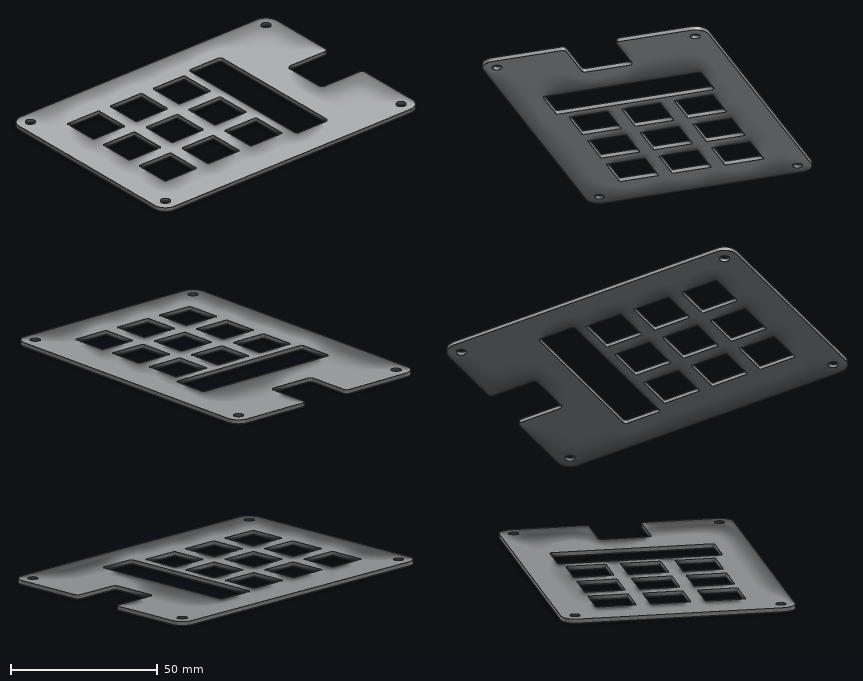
import cadquery as cq

plate_width = 82.0
plate_length = 115.2
plate_thickness = 1.5
corner_radius = 5.0

screw_hole_diameter = 3.5
screw_hole_inset = corner_radius

notch_width = 18.3
notch_depth = 18.3
notch_center_x = 0.3
notch_radius = 1.5

window_width = 57.5
window_height = 14.3
window_center_y = 19.1
window_radius = 1.0

key_rows = 3
key_columns = 3
key_size = 14.1
key_pitch = 19.1
key_radius = 0.5
key_grid_center = (-0.7, -17.7)


def rounded_cutter(width, height, radius, centers):
    """Rounded rectangular prisms that pass through the plate at the given centers."""
    return (
        cq.Workplane("XY")
        .pushPoints(centers)
        .rect(width, height)
        .extrude(plate_thickness)
        .edges("|Z")
        .fillet(radius)
    )


def make_plate():
    """Plate with rounded corners and a notch rounded at its mouth and floor."""
    half_width = plate_width / 2
    half_length = plate_length / 2
    notch_left = notch_center_x - notch_width / 2
    notch_right = notch_center_x + notch_width / 2
    notch_floor = half_length - notch_depth
    outline = [
        (-half_width, -half_length),
        (half_width, -half_length),
        (half_width, half_length),
        (notch_right, half_length),
        (notch_right, notch_floor),
        (notch_left, notch_floor),
        (notch_left, half_length),
        (-half_width, half_length),
    ]
    plate = cq.Workplane("XY").polyline(outline).close().extrude(plate_thickness)
    plate = plate.edges("|Z and (<X or >X)").fillet(corner_radius)
    notch_corners = cq.selectors.BoxSelector(
        (notch_left - notch_radius, notch_floor - notch_radius, 0),
        (notch_right + notch_radius, half_length + notch_radius, plate_thickness),
    )
    return plate.edges("|Z").edges(notch_corners).fillet(notch_radius)


def make_screw_holes():
    """One through hole near each plate corner."""
    return (
        cq.Workplane("XY")
        .rect(
            plate_width - 2 * screw_hole_inset,
            plate_length - 2 * screw_hole_inset,
            forConstruction=True,
        )
        .vertices()
        .circle(screw_hole_diameter / 2)
        .extrude(plate_thickness)
    )


def make_key_openings():
    """Grid of key openings centered on key_grid_center."""
    grid_x, grid_y = key_grid_center
    centers = [
        (
            grid_x + (column - (key_columns - 1) / 2) * key_pitch,
            grid_y + (row - (key_rows - 1) / 2) * key_pitch,
        )
        for row in range(key_rows)
        for column in range(key_columns)
    ]
    return rounded_cutter(key_size, key_size, key_radius, centers)


window = rounded_cutter(window_width, window_height, window_radius, [(0, window_center_y)])

result = make_plate().cut(make_screw_holes()).cut(window).cut(make_key_openings())